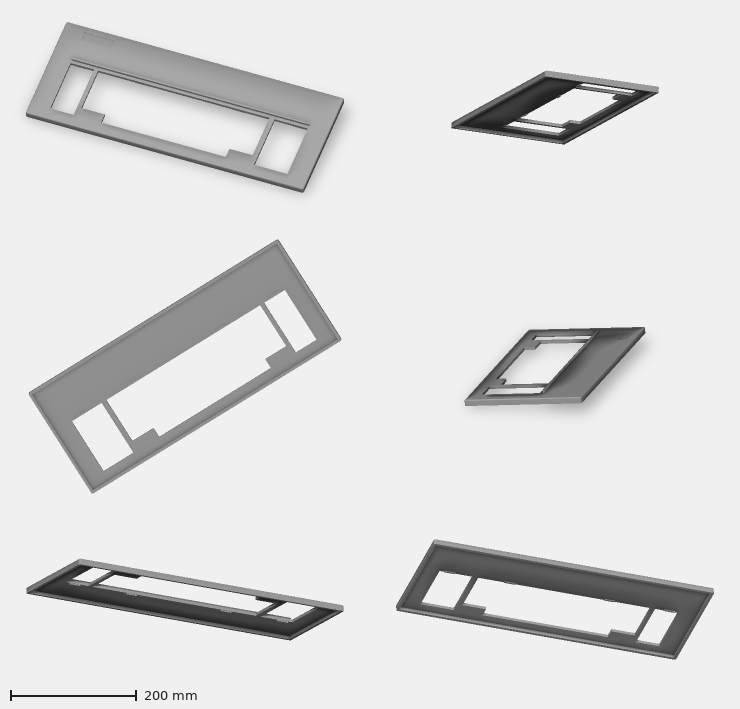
import cadquery as cq

body_width = 469.5
body_depth = 191.0
body_height = 10.0
tilt_angle = 4.5
plate_thickness = 4.5
wall_thickness = 4.5
corner_radius = 3.0
edge_radius = 2.0

side_margin = 34.5
window_front = 20.5
window_back = 115.5
left_window_width = 39.5
right_window_width = 56.5
left_bar_width = 7.0
right_bar_width = 8.5
step_width = 39.5
step_depth = 17.0

rib_front = 121.0
rib_width = 3.0
rib_height = 4.0

nameplate_front = 164.0
nameplate_width = 51.0
nameplate_depth = 15.5
recess_depth = 0.5

tab_width = 18.5
tab_depth = 2.5
tab_drop = 2.0
tab_gap = 1.0
tab_offsets = (83.5, 184.2)

pin_diameter = 1.6
pin_length = 0.5
pin_from_back = 5.0
pin_below_top = 2.0

left_edge = -body_width / 2
right_edge = body_width / 2
opening_left = left_edge + side_margin
opening_right = right_edge - side_margin


def block(x_start, x_end, y_start, y_end, z_start, z_end):
    """Box between two opposite corners."""
    size = (x_end - x_start, y_end - y_start, z_end - z_start)
    return cq.Workplane("XY", origin=(x_start, y_start, z_start)).box(*size, centered=False)


def make_shell():
    outer = block(left_edge, right_edge, 0, body_depth, 0, body_height)
    outer = outer.edges("|Z").fillet(corner_radius)
    outer = outer.faces(">Z").edges().fillet(edge_radius)
    cavity = block(
        left_edge + wall_thickness, right_edge - wall_thickness,
        wall_thickness, body_depth - wall_thickness,
        0, body_height - plate_thickness,
    )
    return outer.cut(cavity)


def window(x_start, x_end, y_start):
    return block(x_start, x_end, y_start, window_back, 0, body_height)


def make_windows():
    left_end = opening_left + left_window_width
    right_start = opening_right - right_window_width
    main_start = left_end + left_bar_width
    main_end = right_start - right_bar_width
    left_window = window(opening_left, left_end, window_front)
    right_window = window(right_start, opening_right, window_front)
    main_back = window(main_start, main_end, window_front + step_depth)
    main_front = window(main_start + step_width, main_end - step_width, window_front)
    return left_window.union(right_window).union(main_back).union(main_front)


def make_rib():
    return block(
        opening_left, opening_right,
        rib_front, rib_front + rib_width,
        body_height - plate_thickness, body_height + rib_height,
    )


def make_nameplate_recess():
    return block(
        opening_left, opening_left + nameplate_width,
        nameplate_front, nameplate_front + nameplate_depth,
        body_height - recess_depth, body_height,
    )


def make_tab(x_center):
    y_start = window_back + tab_gap
    return block(
        x_center - tab_width / 2, x_center + tab_width / 2,
        y_start, y_start + tab_depth,
        body_height - plate_thickness - tab_drop, body_height - plate_thickness / 2,
    )


def make_pin():
    y_center = body_depth - pin_from_back
    z_center = body_height - pin_below_top
    root = right_edge - wall_thickness / 2
    pin = cq.Workplane("YZ", origin=(root, y_center, z_center)).circle(pin_diameter / 2)
    return pin.extrude(right_edge + pin_length - root)


cover = make_shell().cut(make_windows()).cut(make_nameplate_recess())
cover = cover.union(make_rib()).union(make_pin())
for offset in tab_offsets:
    cover = cover.union(make_tab(-offset)).union(make_tab(offset))

result = cover.rotate((0, 0, 0), (1, 0, 0), tilt_angle)